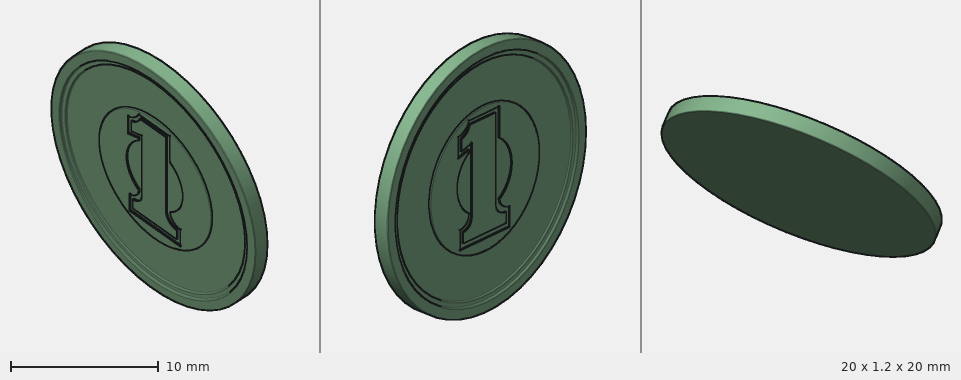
import cadquery as cq
import math

coin_radius = 10.0
coin_thickness = 1.2
edge_round = 0.05
obverse = -coin_thickness / 2

rim_wall_radius = 9.18
ledge_depth = 0.18
field_wall_radius = 8.78
field_depth = 0.3

disc_radius = 5.5
disc_height = 0.12
panel_circle_radius = 2.75
panel_circle_x = -0.05
panel_circle_z = 0.22
panel_depth = 0.12
numeral_height = panel_depth

field_y = obverse + field_depth
disc_y = field_y - disc_height
panel_y = disc_y + panel_depth

panel_left = -2.68
panel_neck_left = -1.6
panel_neck_right = 1.45
panel_top = 4.92
panel_flag_top = 4.08
panel_flag_bottom = 2.45
panel_flag_root = 2.72
panel_foot_half_width = 2.5
panel_foot_top = -2.98
panel_foot_bottom = -4.55
panel_flag_radius = 1.3

numeral_left = -2.35
stem_left = -1.3
stem_right = 1.05
numeral_tip = -1.48
numeral_top = 4.58
flag_top = 3.8
flag_bottom = 2.85
flag_root = 3.15
foot_left = -2.15
foot_right = 2.12
foot_top = -3.28
foot_bottom = -4.12
flag_radius = 1.2


def outline_at(y):
    """Sketch plane at height y whose local axes are X and Z and whose normal is -Y."""
    return cq.Workplane("XZ", origin=(0, y, 0))


def sagitta(start, end, radius):
    """Signed bulge of a concave arc of the given radius between two points."""
    half_chord = math.dist(start, end) / 2
    return math.sqrt(radius**2 - half_chord**2) - radius


def digit_one(y, height, left, neck_left, neck_right, tip, top, flag, flag_arc, foot):
    """Solid digit 1 rising from y toward the obverse."""
    flag_upper, flag_lower, flag_inner = flag
    toe_left, toe_right, toe_top, toe_bottom = foot
    flag_start = (left, flag_upper)
    flag_end = (tip, top)
    left_sweep = neck_left - toe_left
    right_sweep = toe_right - neck_right
    return (
        outline_at(y)
        .moveTo(*flag_start)
        .sagittaArc(flag_end, sagitta(flag_start, flag_end, flag_arc))
        .lineTo(neck_right, top)
        .lineTo(neck_right, toe_top + right_sweep)
        .radiusArc((toe_right, toe_top), -right_sweep)
        .lineTo(toe_right, toe_bottom)
        .lineTo(toe_left, toe_bottom)
        .lineTo(toe_left, toe_top)
        .radiusArc((neck_left, toe_top + left_sweep), -left_sweep)
        .lineTo(neck_left, flag_inner)
        .lineTo(left, flag_lower)
        .close()
        .extrude(height)
    )


def blank():
    """Round-edged disc with the stepped recess turned into its obverse."""
    ledge_y = obverse + ledge_depth
    half_section = [
        (0, field_y),
        (field_wall_radius, field_y),
        (field_wall_radius, ledge_y),
        (rim_wall_radius, ledge_y),
        (rim_wall_radius, obverse),
        (coin_radius, obverse),
        (coin_radius, -obverse),
        (0, -obverse),
    ]
    disc = cq.Workplane("XY").polyline(half_section).close().revolve(360, (0, 0, 0), (0, 1, 0))
    return disc.edges("%CIRCLE").fillet(edge_round)


def central_disc():
    """Raised disc on the field with its front edge rounded."""
    return outline_at(field_y).circle(disc_radius).extrude(disc_height).faces("<Y").edges().fillet(edge_round)


def panel():
    """Cutter for the sunk panel: a circle merged with an enlarged digit."""
    circle = outline_at(panel_y).center(panel_circle_x, panel_circle_z)
    circle = circle.circle(panel_circle_radius).extrude(panel_depth)
    digit = digit_one(
        panel_y,
        panel_depth,
        panel_left,
        panel_neck_left,
        panel_neck_right,
        panel_neck_left,
        panel_top,
        (panel_flag_top, panel_flag_bottom, panel_flag_root),
        panel_flag_radius,
        (-panel_foot_half_width, panel_foot_half_width, panel_foot_top, panel_foot_bottom),
    )
    return circle.union(digit)


def numeral():
    """Raised digit standing on the panel floor."""
    return digit_one(
        panel_y,
        numeral_height,
        numeral_left,
        stem_left,
        stem_right,
        numeral_tip,
        numeral_top,
        (flag_top, flag_bottom, flag_root),
        flag_radius,
        (foot_left, foot_right, foot_top, foot_bottom),
    )


result = blank().union(central_disc()).cut(panel()).union(numeral())